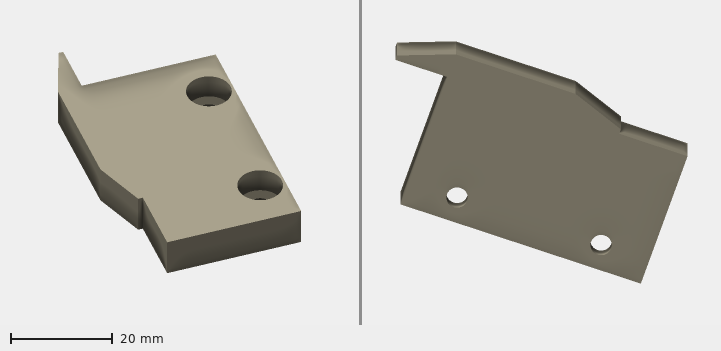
import cadquery as cq

length = 60.8
width = 33.0
thickness = 8.0

body_length = 50.0
body_left = length - body_length

nose_depth = 5.0
nose_length = 46.6
nose_tip = 1.0
taper_length = body_left

hole_diameter = 4.2
counterbore_diameter = 9.0
counterbore_depth = 5.2
hole_inset = 5.0
hole_spacing = 30.0
hole_end_offset = (body_length - hole_spacing) / 2


def plate():
    """Extrude the body and nose as one outline."""
    tip_y = nose_depth - nose_tip
    outline = [
        (0, nose_depth),
        (0, tip_y),
        (taper_length, 0),
        (nose_length - taper_length, 0),
        (nose_length, tip_y),
        (nose_length, nose_depth),
        (length, nose_depth),
        (length, width),
        (body_left, width),
        (body_left, nose_depth),
    ]
    return cq.Workplane("XY").polyline(outline).close().extrude(thickness)


def add_screw_holes(solid):
    """Cut the two through holes, counterbored from the top face."""
    first_x = body_left + hole_end_offset
    hole_y = width - hole_inset
    centers = [(first_x, hole_y), (first_x + hole_spacing, hole_y)]
    return (
        solid.faces(">Z")
        .workplane(origin=(0, 0, thickness))
        .pushPoints(centers)
        .cboreHole(hole_diameter, counterbore_diameter, counterbore_depth)
    )


result = add_screw_holes(plate())